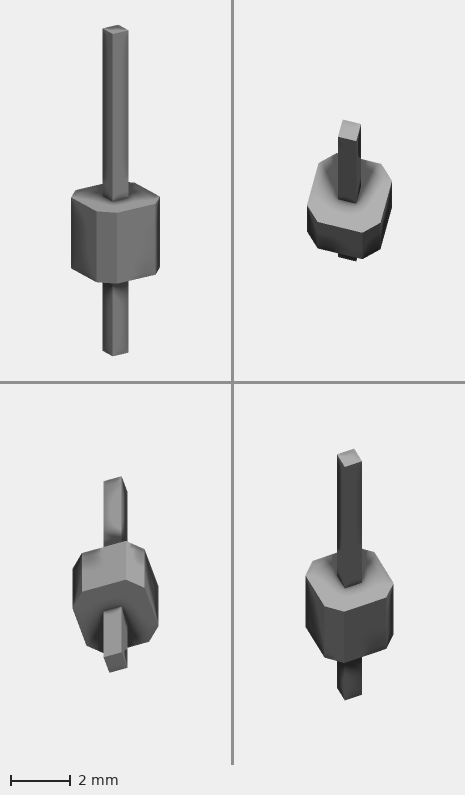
import cadquery as cq

pin_length = 11.54
pin_width = 0.63
pin_tail = 3.0
housing_width = 2.54
housing_height = 2.54
corner_chamfer = 0.5


def make_pin():
    """Square pin standing along Z, with its lower end at Z = 0."""
    return cq.Workplane("XY").rect(pin_width, pin_width).extrude(pin_length)


def make_housing():
    """Square block with chamfered upright edges and a square through hole for the pin."""
    block = (
        cq.Workplane("XY")
        .workplane(offset=pin_tail)
        .rect(housing_width, housing_width)
        .extrude(housing_height)
        .edges("|Z")
        .chamfer(corner_chamfer)
    )
    return block.faces(">Z").workplane().rect(pin_width, pin_width).cutThruAll()


pin = make_pin()
housing = make_housing()

result = cq.Compound.makeCompound([housing.val(), pin.val()])